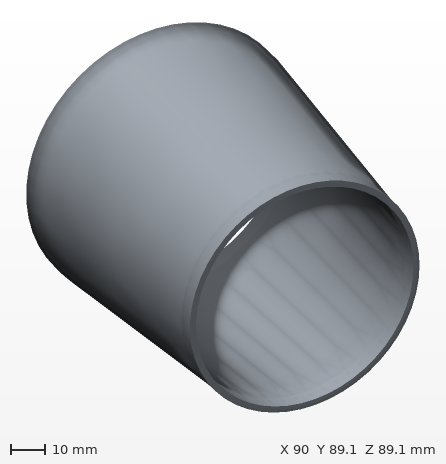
import cadquery as cq

length = 90.0
collar_length = 5.0
wall = 2.0
large_outer_radius = 89.1 / 2
small_outer_radius = 76.3 / 2

taper_start = collar_length
taper_end = length - collar_length


def reducer_body(large_radius, small_radius):
    """Solid of revolution about X, with a straight collar at each end of the taper."""
    return (
        cq.Workplane("XY")
        .moveTo(0, 0)
        .lineTo(0, large_radius)
        .lineTo(taper_start, large_radius)
        .lineTo(taper_end, small_radius)
        .lineTo(length, small_radius)
        .lineTo(length, 0)
        .close()
        .revolve(360, (0, 0, 0), (1, 0, 0))
    )


outer_body = reducer_body(large_outer_radius, small_outer_radius)
bore = reducer_body(large_outer_radius - wall, small_outer_radius - wall)

result = outer_body.cut(bore)